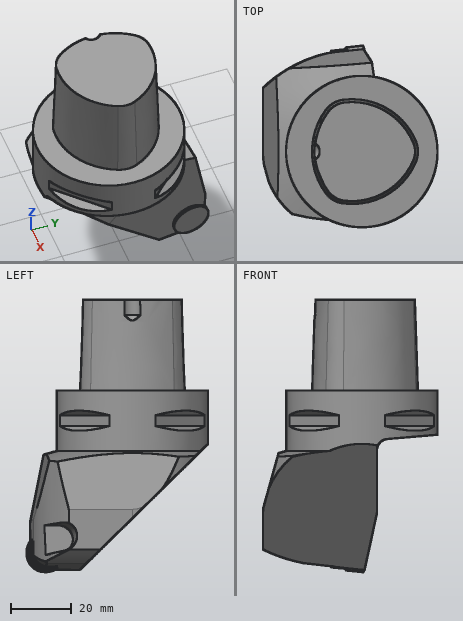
import cadquery as cq
import math


SHANK_HEIGHT = 30.0
LOBE_REACH = 18.5
FLANK_REACH = 16.5
LOBE_CENTRE = 9.9
SHANK_INSET = 1.0
KEY_DIAMETER = 6.0
KEY_AXIS_X = -16.9
KEY_DEPTH = 5.1

FLANGE_DIAMETER = 50.0
FLANGE_RADIUS = FLANGE_DIAMETER / 2
FLANGE_HEIGHT = 20.0
GROOVE_COUNT = 4
GROOVE_CENTRE_Z = -FLANGE_HEIGHT / 2
GROOVE_FLOOR_REACH = 22.2
GROOVE_FLOOR_WIDTH = 3.5
GROOVE_MOUTH_WIDTH = 6.7

HEAD_LEFT = -32.7
HEAD_RIGHT = 5.0
HEAD_BOTTOM = -63.0
SIDE_RADIUS = 26.8
SIDE_CORNER_X = -22.95
OUTER_CORNER = (HEAD_LEFT, 21.0)
OUTER_MIDDLE = (-24.1, 27.45)
OUTER_ARC_END = (-11.0, 32.6)
OUTER_END = (HEAD_RIGHT, 34.3)
SHOULDER_SLOPE = 0.28
LEFT_BREAK_Z = -39.2
LEFT_TOP = (-27.8, -21.8)
LOW_LEFT_Z = -52.6
LOW_MIDDLE = (-26.3, -55.2)
LOW_ARC_END = (-19.2, -57.1)
LOW_RIGHT = (0.9, -59.3)
UNDERCUT_INNER = (HEAD_RIGHT, -16.4)
UNDERCUT_OUTER = (FLANGE_RADIUS, -14.7)
UNDERCUT_FILLET = 3.6
SLOPE_START = (-FLANGE_RADIUS, -17.6)
SLOPE_ANGLE = 44.5
RAKE_POINT = (HEAD_RIGHT, -1.6, -40.1)
RAKE_NORMAL = (1.0, 0.115, -0.1)
OUTER_TILT_POINT = (3.4, 29.3, -21.15)
OUTER_TILT_NORMAL = (-0.084, 1.0, 0.21)

SEAT_Y = 28.6
SEAT_Z = -53.6
INSERT_DIAMETER = 12.7
INSERT_THICKNESS = 5.6
INSERT_STANDOUT = 0.8
SEAT_DEPTH = INSERT_THICKNESS - INSERT_STANDOUT
SHIM_DIAMETER = 11.6
SHIM_THICKNESS = 4.95
NOSE_RADIUS = 5.6

POCKET_RADIUS = 4.7
POCKET_FLARE = 5.0
POCKET_FLOOR = (-21.1, 24.3, -49.2)

BIG = 135.0


def polar(radius, degrees, centre=(0, 0)):
    angle = math.radians(degrees)
    return (centre[0] + radius * math.cos(angle), centre[1] + radius * math.sin(angle))


def beyond_plane(point, normal):
    """Block filling the space on the normal side of a plane."""
    return cq.Workplane(cq.Plane(origin=point, normal=normal)).rect(BIG, BIG).extrude(BIG)


def side_prism(profile):
    """Extrude an XZ profile right through the part along Y."""
    return profile.extrude(BIG / 2, both=True)


def shank_outline(z, inset):
    """Three small lobe arcs joined tangentially by three wide flank arcs."""
    lobe_radius = LOBE_REACH - LOBE_CENTRE - inset
    gap = LOBE_CENTRE - LOBE_REACH + FLANK_REACH
    flank_centre = (LOBE_CENTRE**2 - gap**2) / (2 * gap - LOBE_CENTRE)
    rise = LOBE_CENTRE * math.sin(math.radians(60))
    run = LOBE_CENTRE / 2 + flank_centre
    half_lobe = 60 - math.degrees(math.atan2(rise, run))

    def lobe_point(lobe, turn):
        return polar(lobe_radius, lobe + turn, polar(LOBE_CENTRE, lobe))

    outline = cq.Workplane("XY").workplane(offset=z).moveTo(*lobe_point(0, -half_lobe))
    for lobe in (0, 120, 240):
        outline = outline.threePointArc(lobe_point(lobe, 0), lobe_point(lobe, half_lobe))
        flank_middle = polar(FLANK_REACH - inset, lobe + 60)
        outline = outline.threePointArc(flank_middle, lobe_point(lobe + 120, -half_lobe))
    return outline.wire().val()


def make_shank():
    base = shank_outline(0, 0)
    top = shank_outline(SHANK_HEIGHT, SHANK_INSET)
    shank = cq.Workplane(cq.Solid.makeLoft([base, top], True))
    key_radius = KEY_DIAMETER / 2
    shoulder_z = SHANK_HEIGHT - KEY_DEPTH
    drill = (
        cq.Workplane("XZ")
        .polyline([
            (0, SHANK_HEIGHT),
            (key_radius, SHANK_HEIGHT),
            (key_radius, shoulder_z),
            (0, shoulder_z - key_radius),
        ])
        .close()
        .revolve(360, (0, 0), (0, 1))
        .translate((KEY_AXIS_X, 0, 0))
    )
    return shank.cut(drill)


def make_flange():
    flange = cq.Workplane("XY").circle(FLANGE_RADIUS).extrude(-FLANGE_HEIGHT)
    depth = FLANGE_RADIUS - GROOVE_FLOOR_REACH
    widening = (GROOVE_MOUTH_WIDTH - GROOVE_FLOOR_WIDTH) / 2
    groove = (
        cq.Workplane("XZ")
        .polyline([
            (GROOVE_FLOOR_REACH, GROOVE_CENTRE_Z - GROOVE_FLOOR_WIDTH / 2),
            (GROOVE_FLOOR_REACH + 2 * depth, GROOVE_CENTRE_Z - GROOVE_FLOOR_WIDTH / 2 - 2 * widening),
            (GROOVE_FLOOR_REACH + 2 * depth, GROOVE_CENTRE_Z + GROOVE_FLOOR_WIDTH / 2 + 2 * widening),
            (GROOVE_FLOOR_REACH, GROOVE_CENTRE_Z + GROOVE_FLOOR_WIDTH / 2),
        ])
        .close()
        .extrude(FLANGE_RADIUS, both=True)
    )
    for index in range(GROOVE_COUNT):
        angle = (index + 0.5) * 360 / GROOVE_COUNT
        flange = flange.cut(groove.rotate((0, 0, 0), (0, 0, 1), angle))
    return flange


def head_plan():
    """Plan of the head, extruded down from the flange underside."""
    arc_centre = (HEAD_LEFT + SIDE_RADIUS, 0)
    corner_angle = math.degrees(math.acos((SIDE_CORNER_X - arc_centre[0]) / SIDE_RADIUS))
    corner = polar(SIDE_RADIUS, -corner_angle, arc_centre)
    side_middle = polar(SIDE_RADIUS, -(180 + corner_angle) / 2, arc_centre)
    tangent_angle = math.degrees(math.atan2(corner[1], corner[0])) + math.degrees(
        math.acos(FLANGE_RADIUS / math.hypot(*corner))
    )
    return (
        cq.Workplane("XY")
        .workplane(offset=-FLANGE_HEIGHT)
        .moveTo(HEAD_LEFT, 0)
        .threePointArc(side_middle, corner)
        .lineTo(*polar(FLANGE_RADIUS, tangent_angle))
        .lineTo(HEAD_RIGHT, -FLANGE_RADIUS)
        .lineTo(*OUTER_END)
        .lineTo(*OUTER_ARC_END)
        .threePointArc(OUTER_MIDDLE, OUTER_CORNER)
        .close()
        .extrude(HEAD_BOTTOM + FLANGE_HEIGHT)
    )


def head_front():
    """XZ silhouette of the head, extruded through along Y."""
    top_x = LEFT_TOP[0] + (LEFT_TOP[0] - HEAD_LEFT) * (-LEFT_TOP[1]) / (LEFT_TOP[1] - LEFT_BREAK_Z)
    low_slope = (LOW_RIGHT[1] - LOW_ARC_END[1]) / (LOW_RIGHT[0] - LOW_ARC_END[0])
    low_right_z = LOW_ARC_END[1] + low_slope * (HEAD_RIGHT - LOW_ARC_END[0])
    return side_prism(
        cq.Workplane("XZ")
        .moveTo(top_x, 0)
        .lineTo(HEAD_LEFT, LEFT_BREAK_Z)
        .lineTo(HEAD_LEFT, LOW_LEFT_Z)
        .threePointArc(LOW_MIDDLE, LOW_ARC_END)
        .lineTo(HEAD_RIGHT, low_right_z)
        .lineTo(HEAD_RIGHT, 0)
        .close()
    )


def shoulder_cone():
    """Everything under the conical shoulder that spreads from the flange."""
    reach = BIG / 2
    edge_z = -FLANGE_HEIGHT - SHOULDER_SLOPE * (reach - FLANGE_RADIUS)
    return (
        cq.Workplane("XZ")
        .polyline([
            (0, -FLANGE_HEIGHT),
            (FLANGE_RADIUS, -FLANGE_HEIGHT),
            (reach, edge_z),
            (reach, HEAD_BOTTOM),
            (0, HEAD_BOTTOM),
        ])
        .close()
        .revolve(360, (0, 0), (0, 1))
    )


def make_head():
    head = head_plan().intersect(head_front()).intersect(shoulder_cone())
    head = head.cut(beyond_plane(RAKE_POINT, RAKE_NORMAL))
    return head.cut(beyond_plane(OUTER_TILT_POINT, OUTER_TILT_NORMAL))


def undercut():
    """Space right of the head and below the sloping flange underside."""
    slope = (UNDERCUT_OUTER[1] - UNDERCUT_INNER[1]) / (UNDERCUT_OUTER[0] - UNDERCUT_INNER[0])
    far_x = 2 * FLANGE_RADIUS
    far_z = UNDERCUT_INNER[1] + slope * (far_x - UNDERCUT_INNER[0])
    block = side_prism(
        cq.Workplane("XZ")
        .polyline([(HEAD_RIGHT, HEAD_BOTTOM), UNDERCUT_INNER, (far_x, far_z), (far_x, HEAD_BOTTOM)])
        .close()
    )
    return block.edges("|Y and <X").edges(">Z").fillet(UNDERCUT_FILLET)


def seat_plane():
    """Plane on the rake face at the insert centre, facing out of the face."""
    rise = RAKE_NORMAL[1] * (SEAT_Y - RAKE_POINT[1]) + RAKE_NORMAL[2] * (SEAT_Z - RAKE_POINT[2])
    centre = (RAKE_POINT[0] - rise / RAKE_NORMAL[0], SEAT_Y, SEAT_Z)
    return cq.Plane(origin=centre, xDir=(-RAKE_NORMAL[1], 1, 0), normal=RAKE_NORMAL)


def make_insert():
    return (
        cq.Workplane(seat_plane())
        .workplane(offset=-SEAT_DEPTH)
        .circle(INSERT_DIAMETER / 2)
        .extrude(INSERT_THICKNESS)
    )


def make_shim():
    return (
        cq.Workplane(seat_plane())
        .workplane(offset=-SEAT_DEPTH)
        .circle(SHIM_DIAMETER / 2)
        .extrude(-SHIM_THICKNESS)
    )


def nose_waste():
    """Sharp corner outside the rounded nose of the holder."""
    block = (
        cq.Workplane(seat_plane())
        .rect(BIG, -BIG, centered=False)
        .extrude(-BIG / 2)
    )
    return block.cut(cq.Workplane(seat_plane()).circle(NOSE_RADIUS).extrude(-BIG / 2))


def access_pocket():
    """Round-ended pocket that runs out through the outer side with a flaring lower wall."""
    plane = cq.Plane(
        origin=POCKET_FLOOR,
        xDir=(-RAKE_NORMAL[1], 1, 0),
        normal=tuple(-part for part in RAKE_NORMAL),
    )
    far = 4 * POCKET_RADIUS
    tangent = polar(POCKET_RADIUS, 90 + POCKET_FLARE)
    far_low = tangent[1] + (far - tangent[0]) * math.tan(math.radians(POCKET_FLARE))
    return (
        cq.Workplane(plane)
        .moveTo(*tangent)
        .threePointArc((-POCKET_RADIUS, 0), (0, -POCKET_RADIUS))
        .lineTo(far, -POCKET_RADIUS)
        .lineTo(far, far_low)
        .close()
        .extrude(BIG)
    )


def sloping_cut():
    """Space below the inclined face that trims the flange and the head."""
    angle = math.radians(SLOPE_ANGLE)
    point = (0, *SLOPE_START)
    return beyond_plane(point, (0, -math.sin(angle), -math.cos(angle)))


def make_holder(insert, shim):
    holder = make_flange().union(make_head()).cut(undercut()).union(make_shank())
    holder = holder.cut(sloping_cut()).cut(nose_waste()).cut(access_pocket())
    return holder.cut(insert).cut(shim)


insert = make_insert()
shim = make_shim()
holder = make_holder(insert, shim)

result = cq.Compound.makeCompound([holder.solids().val(), insert.val(), shim.val()])